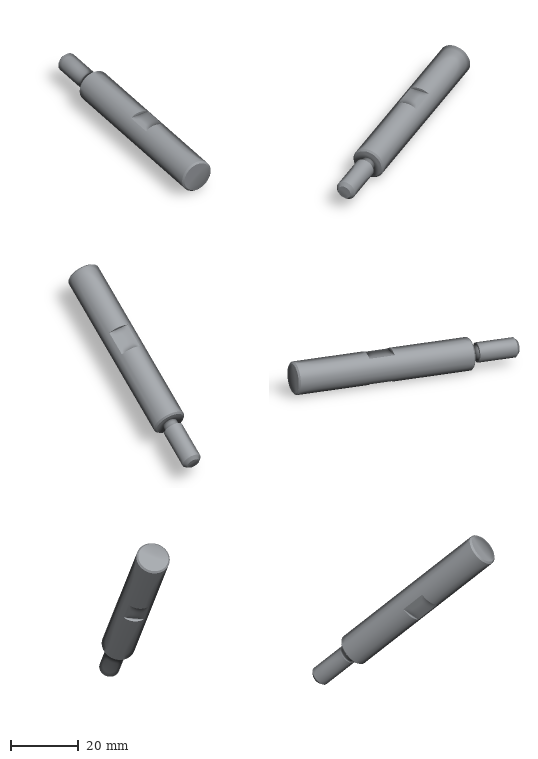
import cadquery as cq

total_length = 71.0
stud_length = 15.0
stud_diameter = 6.0
stud_chamfer = 1.0

neck_length = 2.1
neck_diameter = 4.5

body_diameter = 10.0
body_chamfer = 0.5
body_length = total_length - stud_length

flat_offset = 25.0
flat_length = 8.0
across_flats = 8.0


def cylinder_along_x(start, length, diameter):
    return cq.Workplane("YZ", origin=(start, 0, 0)).circle(diameter / 2).extrude(length)


def make_stud():
    stud = cylinder_along_x(0, stud_length - neck_length, stud_diameter)
    stud = stud.faces("<X").chamfer(stud_chamfer)
    neck = cylinder_along_x(stud_length - neck_length, neck_length, neck_diameter)
    return stud.union(neck)


def make_body():
    body = cylinder_along_x(stud_length, body_length, body_diameter)
    return body.faces("<X or >X").chamfer(body_chamfer)


def flat_cutter(side):
    """Block beyond one wrench flat; side is +1 for the top, -1 for the bottom."""
    depth = (body_diameter - across_flats) / 2
    center_x = stud_length + flat_offset + flat_length / 2
    block_height = 2 * depth
    center_z = side * (across_flats + block_height) / 2
    block = cq.Workplane("XY").box(flat_length, body_diameter, block_height)
    return block.translate((center_x, 0, center_z))


result = make_body().union(make_stud())
for side in (1, -1):
    result = result.cut(flat_cutter(side))